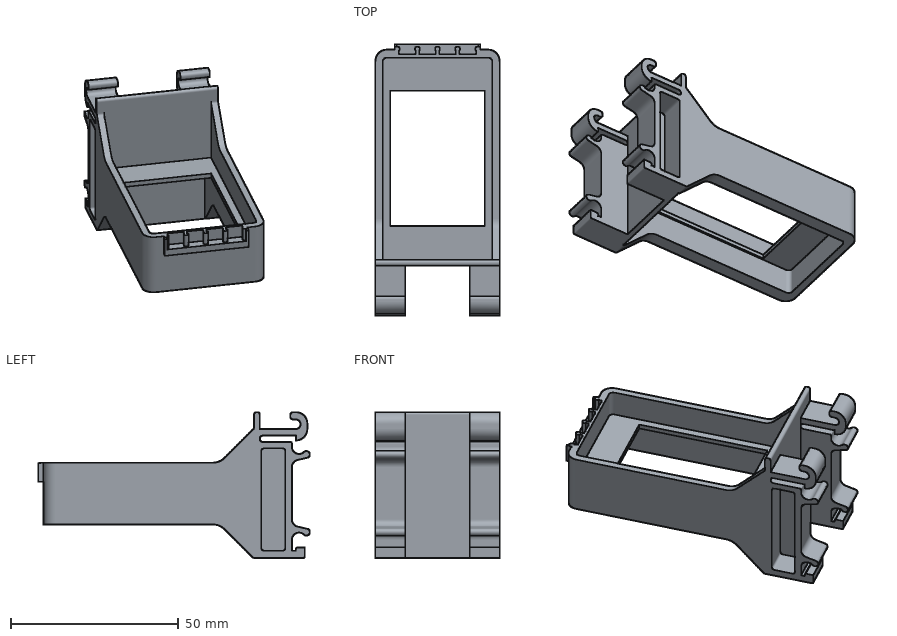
import cadquery as cq
import math

width = 37.3
length = 81.4
height = 43.7

band_bottom = 10.0
band_top = 28.6
frame_end = 79.8
side_wall = 2.2
lower_side_wall = 4.1
end_wall = 2.45
outer_corner_radius = 3.5
inner_corner_radius = 1.3
floor_top = 20.35
floor_thickness = 1.5
opening_width = 28.2
opening_start = 26.95
opening_end = 67.4

flare_start = 27.0
flare_radius = 4.9
fin_root_radius = 0.8
fin_tip_radius = 0.8
plate_front = 15.0
plate_thickness = 1.8
plate_back = plate_front + plate_thickness

leg_width = 9.0
leg_front = 5.4
leg_top = 34.75
leg_top_radius = 0.5
pocket_start = 7.3
pocket_end = 14.6
pocket_bottom = 2.2
pocket_top = 32.8
pocket_radius = 0.8
pocket_depth = 8.05

arm_bottom = 36.6
arm_top = 38.7
hook_front = 0.7
hook_bottom = 35.2
hook_radius = 3.5
hook_thickness = 2.3
hook_tip = 5.95
hook_tip_radius = 1.0

claw_mirror_z = 19.4
claw_seat_z = 33.3
claw_radius = 2.1
claw_tip_radius = 1.05
claw_slope = 13.0

foot_front = 1.55
foot_back = 4.3
foot_top = 3.2
foot_floor = 2.2
foot_edge_radius = 0.4
foot_lip_radius = 0.7

comb_width = 25.7
comb_bottom = 22.8
comb_floor = 24.8
comb_root = 78.3
finger_count = 5
finger_pitch = 6.0
finger_tip = 80.7
finger_head_radius = 0.7
finger_neck = 1.0
finger_root_radius = 0.4
prong_width = 0.7
prong_drop = 0.25


def box(x_range, y_range, z_range):
    """Box between two limits on each axis."""
    size = [b - a for a, b in (x_range, y_range, z_range)]
    return cq.Workplane("XY").box(*size, centered=False).translate((x_range[0], y_range[0], z_range[0]))


def full_width(profile):
    """Extrude a closed YZ profile across the whole width."""
    return profile.extrude(width)


def side_plane():
    return cq.Workplane("YZ", origin=(-width / 2, 0, 0))


def polar(centre, radius, degrees):
    """Point on a circle, with the angle measured from +Y towards +Z."""
    angle = math.radians(degrees)
    return (centre[0] + radius * math.cos(angle), centre[1] + radius * math.sin(angle))


def round_edge(solid, y, z, radius):
    """Round the X-parallel edge that passes through (y, z)."""
    return solid.edges("|X").edges(cq.selectors.NearestToPointSelector((0, y, z))).fillet(radius)


def make_body():
    flare_top = band_top + flare_start - plate_back
    flare_foot = flare_start - band_bottom
    outline = [
        (leg_front, 0),
        (flare_foot, 0),
        (flare_start, band_bottom),
        (frame_end, band_bottom),
        (frame_end, band_top),
        (flare_start, band_top),
        (plate_back, flare_top),
        (plate_back, height),
        (plate_front, height),
        (plate_front, leg_top),
        (leg_front, leg_top),
    ]
    body = full_width(side_plane().polyline(outline).close())
    body = round_edge(body, flare_start, band_bottom, flare_radius)
    body = round_edge(body, flare_start, band_top, flare_radius)
    body = round_edge(body, plate_back, flare_top, fin_root_radius)
    body = round_edge(body, flare_foot, 0, fin_root_radius)
    body = round_edge(body, leg_front, leg_top, leg_top_radius)
    for y in (plate_front, plate_back):
        body = round_edge(body, y, height, fin_tip_radius)
    return body.edges("|Z and >Y").fillet(outer_corner_radius)


def make_hook():
    centre_y = hook_front + hook_radius
    upper = (centre_y, height - hook_radius)
    lower = (centre_y, hook_bottom + hook_radius)
    throat_radius = (height - hook_thickness - arm_top) / 2
    throat = (centre_y, arm_top + throat_radius)
    outline = (
        side_plane()
        .moveTo(plate_back, leg_top)
        .lineTo(plate_back, arm_top)
        .lineTo(throat[0], arm_top)
        .threePointArc(polar(throat, throat_radius, 180), polar(throat, throat_radius, 90))
        .lineTo(hook_tip, height - hook_thickness)
        .lineTo(hook_tip, height)
        .lineTo(centre_y, height)
        .threePointArc(polar(upper, hook_radius, 135), polar(upper, hook_radius, 180))
        .lineTo(hook_front, lower[1])
        .threePointArc(polar(lower, hook_radius, 225), polar(lower, hook_radius, 270))
        .lineTo(centre_y, leg_top)
        .close()
    )
    hook = round_edge(full_width(outline), hook_tip, height, hook_tip_radius)
    return round_edge(hook, hook_tip, height - hook_thickness, hook_tip_radius)


def make_hook_slot():
    slot_radius = (arm_bottom - leg_top) / 2
    slot_centre_y = plate_front - slot_radius
    hook_back = hook_front + hook_radius
    profile = (
        side_plane()
        .moveTo(hook_back, leg_top)
        .lineTo(slot_centre_y, leg_top)
        .threePointArc((plate_front, leg_top + slot_radius), (slot_centre_y, arm_bottom))
        .lineTo(hook_back, arm_bottom)
        .close()
    )
    return full_width(profile)


def make_claw():
    """Upper claw: a concave seat, a round tip and a sloping underside that curves into the leg."""
    seat = (leg_front - claw_radius, claw_seat_z)
    across = seat[0] - claw_tip_radius
    contact = claw_radius + claw_tip_radius
    tip = (claw_tip_radius, claw_seat_z - math.sqrt(contact**2 - across**2))
    slope = math.radians(claw_slope)
    root_z = tip[1] - (contact + across * math.sin(slope)) / math.cos(slope)
    root = (seat[0], root_z)
    contact_angle = math.degrees(math.atan2(tip[1] - seat[1], tip[0] - seat[0]))
    under_angle = 90 - claw_slope
    profile = (
        side_plane()
        .moveTo(plate_front, claw_seat_z)
        .lineTo(leg_front, claw_seat_z)
        .threePointArc(polar(seat, claw_radius, contact_angle / 2), polar(seat, claw_radius, contact_angle))
        .threePointArc(polar(tip, claw_tip_radius, 180), polar(tip, claw_tip_radius, under_angle + 180))
        .lineTo(*polar(root, claw_radius, under_angle))
        .threePointArc(polar(root, claw_radius, under_angle / 2), (leg_front, root_z))
        .lineTo(plate_front, root_z)
        .close()
    )
    return full_width(profile)


def make_foot():
    outline = [
        (plate_front, 0),
        (foot_front, 0),
        (foot_front, foot_top),
        (foot_back, foot_top),
        (foot_back, foot_floor),
        (plate_front, foot_floor),
    ]
    foot = full_width(side_plane().polyline(outline).close())
    foot = round_edge(foot, foot_front, 0, foot_edge_radius)
    return round_edge(foot, foot_back, foot_top, foot_lip_radius)


def make_cavity():
    """Frame interior, open above and below the floor, with a window through the floor."""

    def chamber(wall, z_range):
        half = width / 2 - wall
        space = box((-half, half), (plate_back, frame_end - end_wall), z_range)
        return space.edges("|Z and >Y").fillet(inner_corner_radius)

    half_opening = opening_width / 2
    window = box((-half_opening, half_opening), (opening_start, opening_end), (0, height))
    upper = chamber(side_wall, (floor_top, height))
    lower = chamber(lower_side_wall, (0, floor_top - floor_thickness))
    return upper.union(lower).union(window)


def make_leg_pocket():
    """Blind pocket in the outer face of the -X leg."""
    pocket = box(
        (-width / 2, pocket_depth - width / 2),
        (pocket_start, pocket_end),
        (pocket_bottom, pocket_top),
    )
    return pocket.edges("|X").fillet(pocket_radius)


def add_comb(part):
    half = comb_width / 2
    end_finger_x = finger_pitch * (finger_count - 1) / 2
    head_y = finger_tip - finger_head_radius
    slot_height = (comb_floor, band_top)

    part = part.union(box((-half, half), (comb_root, length), (comb_bottom, band_top)))

    gap = box((-end_finger_x, end_finger_x), (comb_root, length), slot_height)
    front = box((prong_width - half, half - prong_width), (finger_tip, length), slot_height)
    space = gap.union(front)
    for index in range(finger_count):
        x = index * finger_pitch - end_finger_x
        head = cq.Workplane("XY", origin=(x, head_y, comb_floor)).circle(finger_head_radius)
        neck = box((x - finger_neck / 2, x + finger_neck / 2), (comb_root, head_y), slot_height)
        space = space.cut(head.extrude(band_top - comb_floor)).cut(neck)
    space = space.edges("|Z and <Y").fillet(finger_root_radius)
    part = part.cut(space)

    slope = (
        side_plane()
        .moveTo(finger_tip, band_top)
        .lineTo(length, band_top)
        .lineTo(length, band_top - prong_drop)
        .close()
    )
    return part.cut(full_width(slope))


claw = make_claw()
lower_claw = claw.mirror("XY", (0, 0, claw_mirror_z))
leg_gap_half = width / 2 - leg_width
leg_gap = box((-leg_gap_half, leg_gap_half), (0, plate_front), (0, height))
pocket = make_leg_pocket()

result = make_body().union(make_hook()).cut(make_hook_slot())
result = result.union(claw).union(lower_claw).union(make_foot())
result = result.cut(leg_gap).cut(pocket).cut(pocket.mirror("YZ"))
result = add_comb(result.cut(make_cavity())).clean()